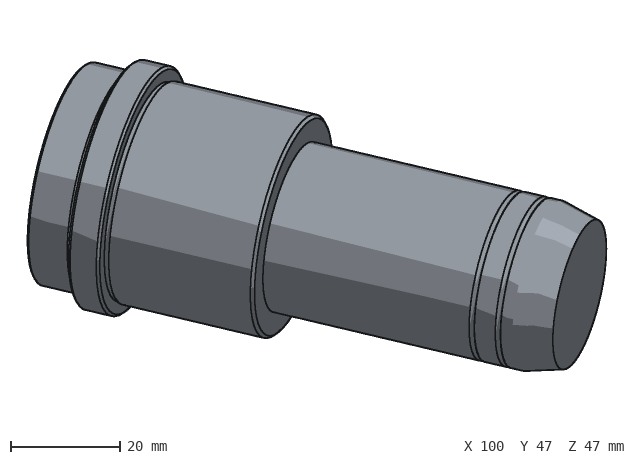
import cadquery as cq
import math

total_length = 100.0
body_length = 44.2
collar_start = 8.9
collar_width = 6.1
relief_width = 1.4
front_relief_start = 7.9
rear_relief_start = 14.6
ring_groove_width = 1.0
ring_groove_starts = (84.4, 89.5)
taper_length = 7.2
taper_angle = 15.0

body_diameter = 42.0
collar_diameter = 47.0
shaft_diameter = 32.0
relief_depth = 0.4
ring_groove_depth = 0.5

body_front_chamfer = 0.4
body_rear_chamfer = 0.6
collar_chamfer = 0.5


def cylinder(start, length, diameter):
    """Solid cylinder along X, beginning at the given X position."""
    return cq.Workplane("YZ", origin=(start, 0, 0)).circle(diameter / 2).extrude(length)


def cut_groove(part, start, width, diameter, depth):
    """Cut an arc-bottomed groove around a cylindrical surface of the given diameter."""
    surface_radius = diameter / 2
    end = start + width
    profile = (
        cq.Workplane("XY")
        .moveTo(start, surface_radius)
        .threePointArc((start + width / 2, surface_radius - depth), (end, surface_radius))
        .close()
    )
    return part.cut(profile.revolve(360, (0, 0, 0), (1, 0, 0)))


body = cylinder(0, body_length, body_diameter)
body = body.faces("<X").chamfer(body_front_chamfer)
body = body.faces(">X").chamfer(body_rear_chamfer)
for relief_start in (front_relief_start, rear_relief_start):
    body = cut_groove(body, relief_start, relief_width, body_diameter, relief_depth)

collar = cylinder(collar_start, collar_width, collar_diameter)
collar = collar.edges("%CIRCLE").chamfer(collar_chamfer)

taper_drop = taper_length * math.tan(math.radians(taper_angle))
shaft = cylinder(body_length, total_length - body_length, shaft_diameter)
shaft = shaft.faces(">X").edges().chamfer(taper_length, taper_drop)
for groove_start in ring_groove_starts:
    shaft = cut_groove(shaft, groove_start, ring_groove_width, shaft_diameter, ring_groove_depth)

result = body.union(collar).union(shaft)